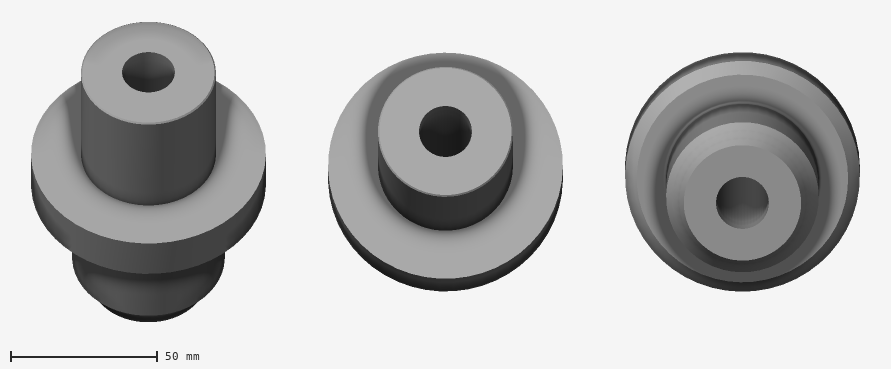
import cadquery as cq

total_height = 108.0
bore_radius = 9.0

upper_shank_radius = 23.0
upper_chamfer = 0.5

flange_radius = 40.0
flange_top = 65.0
flange_thickness = 20.0
flange_chamfer = 4.0

lower_shank_radius = 26.0
root_fillet = 1.0

nose_height = 10.5
nose_tip_radius = 20.0
nose_flank_radius = 50.0

flange_bottom = flange_top - flange_thickness


def turned_body():
    """Stepped outside shape, revolved from its half profile in the YZ plane."""
    profile = (
        cq.Workplane("YZ")
        .moveTo(0, 0)
        .lineTo(nose_tip_radius, 0)
        .radiusArc((lower_shank_radius, nose_height), nose_flank_radius)
        .lineTo(lower_shank_radius, flange_bottom - root_fillet)
        .radiusArc((lower_shank_radius + root_fillet, flange_bottom), root_fillet)
        .lineTo(flange_radius - flange_chamfer, flange_bottom)
        .lineTo(flange_radius, flange_bottom + flange_chamfer)
        .lineTo(flange_radius, flange_top)
        .lineTo(upper_shank_radius, flange_top)
        .lineTo(upper_shank_radius, total_height - upper_chamfer)
        .lineTo(upper_shank_radius - upper_chamfer, total_height)
        .lineTo(0, total_height)
        .close()
    )
    return profile.revolve(360, (0, 0, 0), (0, 1, 0))


def through_bore():
    """Cylinder that clears the axial hole."""
    return cq.Workplane("XY").circle(bore_radius).extrude(total_height)


result = turned_body().cut(through_bore())